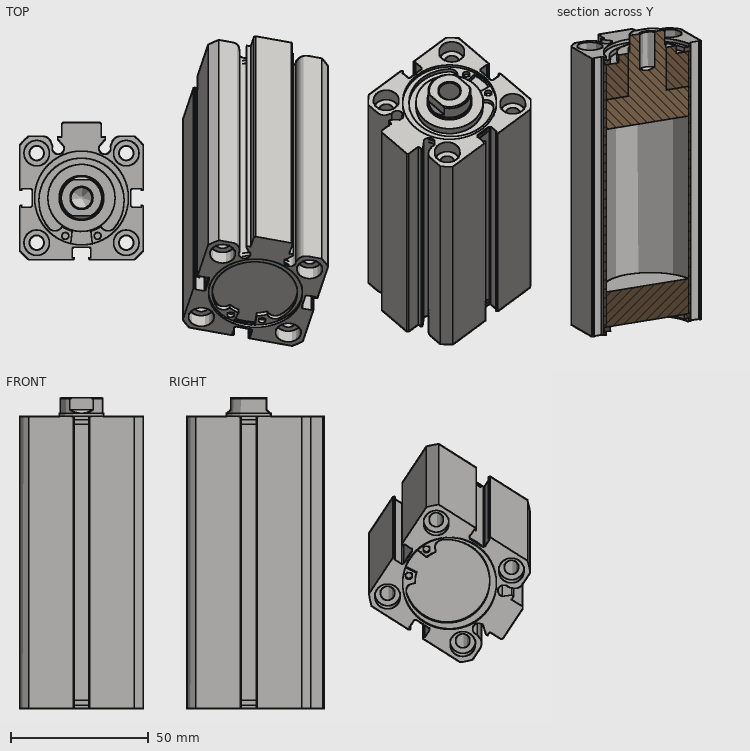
import cadquery as cq
import math

TOTAL_HEIGHT = 113.0
BODY_HEIGHT = 106.2
HALF_WIDTH = 22.5
CORNER_CUT = 3.3

RAIL_TOP = 27.5
RAIL_HALF_WIDTH = 7.2
RAIL_CHAMFER = 0.6
LIP_HALF_WIDTH = 8.7
LIP_TOP = 22.1
LIP_BOTTOM = 21.4
GROOVE_X = 8.5
GROOVE_Y = 18.1
GROOVE_RADIUS = 2.1
GROOVE_INNER_ANGLE = 165.0
GROOVE_OUTER_ANGLE = 20.0
SHOULDER_RADIUS = 3.4
SHOULDER_X = 14.2
SHOULDER_END_ANGLE = 165.0

SLOT_DEPTH = 4.5
SLOT_WIDTH = 6.7
SLOT_MOUTH = 5.4
SLOT_LIP = 0.8
SLOT_CORNER = 0.5
MOUTH_CHAMFER = 0.3

HOLE_SPACING = 32.5
HOLE_RADIUS = 2.6
COUNTERBORE_RADIUS = 4.6
COUNTERBORE_DEPTH = 5.6

BORE_RADIUS = 17.1
RING_DEPTH = 1.2
RING_THICKNESS = 1.7
RING_DIAMETER = 35.6
COVER_THICKNESS = 13.6
BOSS_RADIUS = 12.2

RING_INNER_RADIUS = 15.5
RING_INNER_OFFSET = -1.0
EAR_INNER_RADIUS = 12.5
EAR_HALF_ANGLE = 34.0
EAR_FILLET = 2.9
GAP_INNER_HALF_WIDTH = 3.2
GAP_OUTER_HALF_WIDTH = 4.1
EAR_HOLE_X = 5.9
EAR_HOLE_Y = -13.8
EAR_HOLE_RADIUS = 1.2

ROD_RADIUS = 8.1
TIP_RADIUS = 7.8
TIP_START = 107.2
TIP_CHAMFER = 0.5
ACROSS_FLATS = 13.1
FLAT_BOTTOM = 108.6
PISTON_THICKNESS = 11.3
THREAD_RADIUS = 3.8
THREAD_DEPTH = 13.6
THREAD_CHAMFER = 0.3
DRILL_TIP_ANGLE = 118.0

ring_radius = RING_DIAMETER / 2
cover_top = BODY_HEIGHT - RING_DEPTH - RING_THICKNESS
cover_bottom = cover_top - COVER_THICKNESS


def disc(radius, bottom, top):
    """Upright cylinder on the Z axis between two heights."""
    return cq.Workplane("XY").workplane(offset=bottom).circle(radius).extrude(top - bottom)


def polar(center, radius, degrees):
    """Point on a circle at an angle measured from +X."""
    angle = math.radians(degrees)
    return (center[0] + radius * math.cos(angle), center[1] + radius * math.sin(angle))


def half_profile():
    """The +X half of the extruded outline, closed along the Y axis."""
    axis = (0, 0)
    groove = (GROOVE_X, GROOVE_Y)
    shoulder = (SHOULDER_X, HALF_WIDTH - SHOULDER_RADIUS)
    shoulder_middle_angle = (90.0 + SHOULDER_END_ANGLE) / 2
    flat_end = HALF_WIDTH - CORNER_CUT
    corner_radius = math.hypot(HALF_WIDTH, flat_end)
    return (
        cq.Workplane("XY")
        .moveTo(0, RAIL_TOP)
        .lineTo(RAIL_HALF_WIDTH - RAIL_CHAMFER, RAIL_TOP)
        .lineTo(RAIL_HALF_WIDTH, RAIL_TOP - RAIL_CHAMFER)
        .lineTo(RAIL_HALF_WIDTH, LIP_TOP)
        .lineTo(LIP_HALF_WIDTH, LIP_TOP)
        .lineTo(LIP_HALF_WIDTH, LIP_BOTTOM)
        .lineTo(*polar(groove, GROOVE_RADIUS, GROOVE_INNER_ANGLE))
        .threePointArc(
            polar(groove, GROOVE_RADIUS, -90.0),
            polar(groove, GROOVE_RADIUS, GROOVE_OUTER_ANGLE),
        )
        .lineTo(*polar(shoulder, SHOULDER_RADIUS, SHOULDER_END_ANGLE))
        .threePointArc(
            polar(shoulder, SHOULDER_RADIUS, shoulder_middle_angle),
            polar(shoulder, SHOULDER_RADIUS, 90.0),
        )
        .lineTo(flat_end, HALF_WIDTH)
        .threePointArc(polar(axis, corner_radius, 45.0), (HALF_WIDTH, flat_end))
        .lineTo(HALF_WIDTH, -flat_end)
        .threePointArc(polar(axis, corner_radius, -45.0), (flat_end, -HALF_WIDTH))
        .lineTo(0, -HALF_WIDTH)
        .close()
    )


def slot_cutter(turn):
    """Lipped slot cutter for the -Y side, turned about Z to its own side."""
    floor = SLOT_DEPTH - HALF_WIDTH
    lip = SLOT_LIP - HALF_WIDTH
    pocket = (
        cq.Workplane("XY")
        .center(0, (floor + lip) / 2)
        .rect(SLOT_WIDTH, floor - lip)
        .extrude(BODY_HEIGHT)
        .edges("|Z and >Y")
        .chamfer(SLOT_CORNER)
    )
    half_mouth = SLOT_MOUTH / 2
    mouth = (
        cq.Workplane("XY")
        .polyline([
            (-half_mouth, lip),
            (half_mouth, lip),
            (half_mouth, MOUTH_CHAMFER - HALF_WIDTH),
            (half_mouth + MOUTH_CHAMFER, -HALF_WIDTH),
            (-half_mouth - MOUTH_CHAMFER, -HALF_WIDTH),
            (-half_mouth, MOUTH_CHAMFER - HALF_WIDTH),
        ])
        .close()
        .extrude(BODY_HEIGHT)
    )
    return pocket.union(mouth).rotate((0, 0, 0), (0, 0, 1), turn)


def mirror_ends(shape):
    """The same shape at the opposite end of the housing."""
    return shape.mirror("XY").translate((0, 0, BODY_HEIGHT))


def make_housing():
    half = half_profile().extrude(BODY_HEIGHT)
    housing = half.union(half.mirror("YZ"))
    for turn in (-90, 0, 90):
        housing = housing.cut(slot_cutter(turn))
    holes = cq.Workplane("XY").rect(HOLE_SPACING, HOLE_SPACING, forConstruction=True).vertices()
    housing = housing.cut(holes.circle(HOLE_RADIUS).extrude(BODY_HEIGHT))
    counterbores = holes.circle(COUNTERBORE_RADIUS).extrude(COUNTERBORE_DEPTH)
    ring_groove = disc(ring_radius, cover_top, cover_top + RING_THICKNESS)
    housing = housing.cut(disc(BORE_RADIUS, 0, BODY_HEIGHT))
    for end_cut in (counterbores, ring_groove):
        housing = housing.cut(end_cut).cut(mirror_ends(end_cut))
    return housing


def make_rear_cover():
    return mirror_ends(disc(BORE_RADIUS, cover_bottom, cover_top))


def make_head_cover():
    """Front cover with a raised boss and a through hole for the rod."""
    flange = disc(BORE_RADIUS, cover_bottom, cover_top)
    boss = disc(BOSS_RADIUS, cover_top, BODY_HEIGHT)
    return flange.union(boss).cut(disc(ROD_RADIUS, cover_bottom, BODY_HEIGHT))


def make_retaining_ring():
    """Open ring with an eccentric inner edge and two drilled ears on the -Y side."""
    top = cover_top + RING_THICKNESS
    opening = disc(RING_INNER_RADIUS, cover_top, top).translate((0, RING_INNER_OFFSET, 0))
    reach = 2 * ring_radius
    sector_half_width = reach * math.tan(math.radians(EAR_HALF_ANGLE))
    sector = (
        cq.Workplane("XY")
        .workplane(offset=cover_top)
        .polyline([(0, 0), (-sector_half_width, -reach), (sector_half_width, -reach)])
        .close()
        .extrude(RING_THICKNESS)
    )
    opening = opening.cut(sector).edges("|Z").edges("<Y").fillet(EAR_FILLET)
    opening = opening.union(disc(EAR_INNER_RADIUS, cover_top, top))
    ring = disc(ring_radius, cover_top, top).cut(opening)
    gap_inner_y = -BOSS_RADIUS * math.cos(math.radians(EAR_HALF_ANGLE))
    gap = (
        cq.Workplane("XY")
        .workplane(offset=cover_top)
        .polyline([
            (-GAP_INNER_HALF_WIDTH, gap_inner_y),
            (GAP_INNER_HALF_WIDTH, gap_inner_y),
            (GAP_OUTER_HALF_WIDTH, -ring_radius),
            (-GAP_OUTER_HALF_WIDTH, -ring_radius),
        ])
        .close()
        .extrude(RING_THICKNESS)
    )
    ear_holes = (
        cq.Workplane("XY")
        .workplane(offset=cover_top)
        .pushPoints([(-EAR_HOLE_X, EAR_HOLE_Y), (EAR_HOLE_X, EAR_HOLE_Y)])
        .circle(EAR_HOLE_RADIUS)
        .extrude(RING_THICKNESS)
    )
    return ring.cut(gap).cut(ear_holes)


def make_piston_rod():
    """Piston, rod and a wrench-flatted tip with a threaded hole."""
    piston = disc(BORE_RADIUS, cover_bottom - PISTON_THICKNESS, cover_bottom)
    rod = disc(ROD_RADIUS, cover_bottom, TIP_START)
    tip = disc(TIP_RADIUS, TIP_START, TOTAL_HEIGHT).faces(">Z").chamfer(TIP_CHAMFER)
    part = piston.union(rod).union(tip)

    flat = ACROSS_FLATS / 2
    slope = FLAT_BOTTOM - TIP_START
    flat_cut = (
        cq.Workplane("YZ")
        .polyline([
            (flat, TOTAL_HEIGHT),
            (flat, FLAT_BOTTOM),
            (flat + slope, TIP_START),
            (flat + slope, TOTAL_HEIGHT),
        ])
        .close()
        .extrude(ROD_RADIUS, both=True)
    )
    part = part.cut(flat_cut).cut(flat_cut.mirror("XZ"))

    hole_bottom = TOTAL_HEIGHT - THREAD_DEPTH
    drill_tip = THREAD_RADIUS / math.tan(math.radians(DRILL_TIP_ANGLE / 2))
    thread = (
        cq.Workplane("XZ")
        .polyline([
            (0, TOTAL_HEIGHT),
            (THREAD_RADIUS + THREAD_CHAMFER, TOTAL_HEIGHT),
            (THREAD_RADIUS, TOTAL_HEIGHT - THREAD_CHAMFER),
            (THREAD_RADIUS, hole_bottom),
            (0, hole_bottom - drill_tip),
        ])
        .close()
        .revolve(360, (0, 0, 0), (0, 1, 0))
    )
    return part.cut(thread)


housing = make_housing()
head_cover = make_head_cover()
rear_cover = make_rear_cover()
piston_rod = make_piston_rod()
front_ring = make_retaining_ring()
rear_ring = mirror_ends(front_ring)
bodies = [housing, head_cover, rear_cover, piston_rod, front_ring, rear_ring]

result = cq.Compound.makeCompound([body.solids().val() for body in bodies])